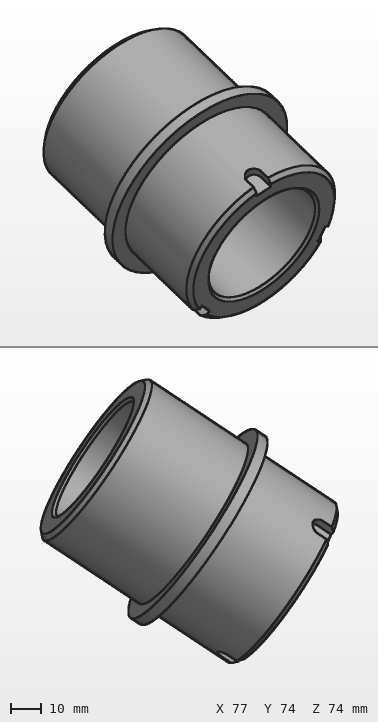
import cadquery as cq

length = 77.0
flange_diameter = 74.0
flange_start = 40.0
flange_thickness = 4.0
flange_end = flange_start + flange_thickness

barrel_radius = 31.5
outer_chamfer = 1.6

bore_radius = 22.5
bore_chamfer = 1.0

slot_count = 3
slot_width = 6.1
slot_length = 8.1
slot_floor_radius = 28.25


def make_body():
    """Revolve the half section (X along the axis, Z as radius) about X."""
    flange_radius = flange_diameter / 2
    section = (
        cq.Workplane("XZ")
        .moveTo(0, bore_radius + bore_chamfer)
        .lineTo(0, barrel_radius - outer_chamfer)
        .lineTo(outer_chamfer, barrel_radius)
        .lineTo(flange_start, barrel_radius)
        .lineTo(flange_start, flange_radius)
        .lineTo(flange_end, flange_radius)
        .lineTo(flange_end, barrel_radius)
        .lineTo(length - outer_chamfer, barrel_radius)
        .lineTo(length, barrel_radius - outer_chamfer)
        .lineTo(length, bore_radius + bore_chamfer)
        .lineTo(length - bore_chamfer, bore_radius)
        .lineTo(bore_chamfer, bore_radius)
        .close()
    )
    return section.revolve(360, (0, 0, 0), (1, 0, 0))


def make_slot_cutter():
    """Slot at the top of the rim, open at the +X end and rounded inside."""
    half_width = slot_width / 2
    slot_start = length - slot_length
    arc_center = slot_start + half_width
    cutter_height = flange_diameter / 2 - slot_floor_radius
    return (
        cq.Workplane("XY", origin=(0, 0, slot_floor_radius))
        .moveTo(length, -half_width)
        .lineTo(arc_center, -half_width)
        .threePointArc((slot_start, 0), (arc_center, half_width))
        .lineTo(length, half_width)
        .close()
        .extrude(cutter_height)
    )


result = make_body()
slot_cutter = make_slot_cutter()
for index in range(slot_count):
    angle = index * 360 / slot_count
    result = result.cut(slot_cutter.rotate((0, 0, 0), (1, 0, 0), angle))